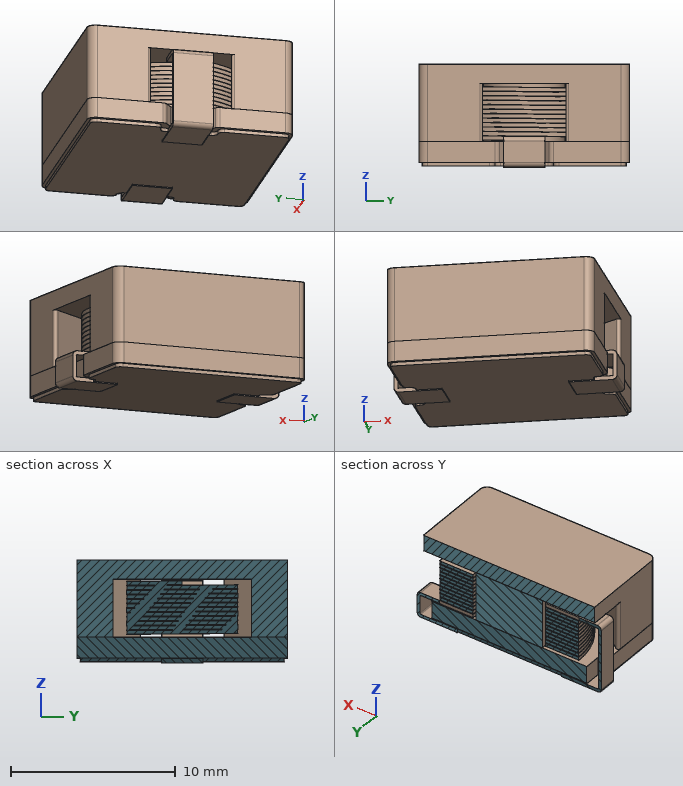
import cadquery as cq
import math


total_length = 13.8
body_side = 12.8
body_half = body_side / 2
body_corner_radius = 0.54
body_top_z = 6.27

film_bottom_z = 0.07
base_bottom_z = 0.29
base_top_z = 1.57
cavity_top_z = 5.08

film_inset = 0.21
film_half = body_half - film_inset
film_corner_radius = body_corner_radius - film_inset
film_notch_half_width = 1.78
film_notch_depth = 0.69

cavity_radius = 5.71
opening_half_width = 2.36
opening_edge_radius = 0.17

base_notch_mouth_half = 1.61
base_notch_floor_half = 1.15
base_notch_depth = 0.6
base_notch_edge_radius = 0.33

strip_thickness = 0.25
bend_inner_radius = 0.04
bend_outer_radius = bend_inner_radius + strip_thickness
terminal_width = 2.5
foot_end_x = 3.9
upper_lead_top_z = 5.0
lower_lead_top_z = 1.88

coil_outer_radius = 5.2
coil_inner_radius = 2.7
coil_turns = 11.5
coil_pitch = (upper_lead_top_z - lower_lead_top_z) / coil_turns
post_radius = 2.5

SIDES = (-1, 1)


def square_plate(half, corner_radius, bottom_z, top_z):
    """Square plate with rounded vertical corners."""
    plate = cq.Workplane("XY").workplane(offset=bottom_z).rect(2 * half, 2 * half)
    return plate.extrude(top_z - bottom_z).edges("|Z").fillet(corner_radius)


def prism(points, bottom_z, top_z):
    """Vertical prism over a closed outline."""
    return cq.Workplane("XY").workplane(offset=bottom_z).polyline(points).close().extrude(top_z - bottom_z)


def upright_edges(face_x, half_width):
    """Selector for the two vertical edges at X = face_x, Y = +/- half_width."""
    reach = 0.01
    left, right = [
        cq.selectors.BoxSelector(
            (face_x - reach, side * half_width - reach, 0),
            (face_x + reach, side * half_width + reach, body_top_z),
        )
        for side in SIDES
    ]
    return left + right


def notch_outline(side, mouth_x, mouth_half, floor_x, floor_half):
    """Four-sided outline, symmetric in Y, from a mouth at an X end to a floor further in."""
    return [
        (side * mouth_x, mouth_half),
        (side * mouth_x, -mouth_half),
        (side * floor_x, -floor_half),
        (side * floor_x, floor_half),
    ]


def make_cap():
    """Cap with a round coil cavity, open below, and flared openings at both X ends."""
    cap = square_plate(body_half, body_corner_radius, base_top_z, body_top_z)

    corner_distance = math.hypot(body_half, opening_half_width)
    corner_angle = math.atan2(opening_half_width, body_half)
    tangent_angle = corner_angle + math.acos(cavity_radius / corner_distance)
    tangent_x = cavity_radius * math.cos(tangent_angle)
    tangent_y = cavity_radius * math.sin(tangent_angle)

    cavity_height = cavity_top_z - base_top_z
    cavity = cq.Workplane("XY").workplane(offset=base_top_z).circle(cavity_radius).extrude(cavity_height)
    for side in SIDES:
        outline = notch_outline(side, body_half, opening_half_width, tangent_x, tangent_y)
        cavity = cavity.union(prism(outline, base_top_z, cavity_top_z))
    cap = cap.cut(cavity)

    for side in SIDES:
        cap = cap.edges(upright_edges(side * body_half, opening_half_width)).fillet(opening_edge_radius)
    return cap


def make_base():
    """Base plate with a tapered, round-edged notch behind each terminal."""
    base = square_plate(body_half, body_corner_radius, base_bottom_z, base_top_z)
    notch_floor_x = body_half - base_notch_depth
    for side in SIDES:
        outline = notch_outline(side, body_half, base_notch_mouth_half, notch_floor_x, base_notch_floor_half)
        base = base.cut(prism(outline, base_bottom_z, base_top_z))
        mouth_edges = upright_edges(side * body_half, base_notch_mouth_half)
        base = base.edges(mouth_edges).fillet(base_notch_edge_radius)
    return base


def make_film():
    """Thin bottom film, notched at both ends and recessed underneath for the feet."""
    film = square_plate(film_half, film_corner_radius, film_bottom_z, base_bottom_z)
    notch_floor_x = film_half - film_notch_depth
    for side in SIDES:
        outline = notch_outline(side, film_half, film_notch_half_width, notch_floor_x, film_notch_half_width)
        film = film.cut(prism(outline, film_bottom_z, base_bottom_z))
        for edge_x in (side * film_half, side * notch_floor_x):
            film = film.edges(upright_edges(edge_x, film_notch_half_width)).fillet(film_corner_radius)

        recess_length = film_half - foot_end_x
        recess_center_x = side * (foot_end_x + recess_length / 2)
        recess = cq.Workplane("XY").center(recess_center_x, 0).rect(recess_length, terminal_width)
        film = film.cut(recess.extrude(strip_thickness))
    return film


def make_post():
    """Round centre post between the base and the cavity roof."""
    return cq.Workplane("XY").workplane(offset=base_top_z).circle(post_radius).extrude(cavity_top_z - base_top_z)


def make_coil():
    """Flat wire wound on edge, from the lower lead at +X up to the upper lead at -X."""
    mean_radius = (coil_outer_radius + coil_inner_radius) / 2
    wire_width = coil_outer_radius - coil_inner_radius
    start_z = lower_lead_top_z - strip_thickness / 2
    path = cq.Wire.makeHelix(
        coil_pitch,
        coil_turns * coil_pitch,
        mean_radius,
        center=cq.Vector(0, 0, start_z),
        lefthand=True,
    )
    section = cq.Workplane("XZ").center(mean_radius, start_z).rect(wire_width, strip_thickness)
    return section.sweep(cq.Workplane(path), isFrenet=True)


def make_terminal(side, lead_top_z):
    """C-shaped strip: lead at the top, upright outside the body, foot under the film."""
    outer_x = total_length / 2
    upright_inner_x = outer_x - strip_thickness
    lead_bottom_z = lead_top_z - strip_thickness
    lead_start_x = coil_inner_radius

    outline = [
        (side * foot_end_x, 0),
        (side * outer_x, 0),
        (side * outer_x, lead_top_z),
        (side * lead_start_x, lead_top_z),
        (side * lead_start_x, lead_bottom_z),
        (side * upright_inner_x, lead_bottom_z),
        (side * upright_inner_x, strip_thickness),
        (side * foot_end_x, strip_thickness),
    ]
    strip = cq.Workplane("XZ").polyline(outline).close().extrude(terminal_width / 2, both=True)

    strip = strip.faces(">X" if side > 0 else "<X").edges("|Y").fillet(bend_outer_radius)
    inner_bends = cq.selectors.BoxSelector(
        (side * upright_inner_x - bend_inner_radius, -terminal_width, strip_thickness / 2),
        (side * upright_inner_x + bend_inner_radius, terminal_width, lead_top_z - strip_thickness / 2),
    )
    strip = strip.edges("|Y").edges(inner_bends).fillet(bend_inner_radius)

    coil_envelope = (
        cq.Workplane("XY").workplane(offset=lead_bottom_z).circle(coil_outer_radius).extrude(strip_thickness)
    )
    return strip.cut(coil_envelope)


cap = make_cap()
base = make_base()
film = make_film()
post = make_post()
coil = make_coil()
lead_heights = (upper_lead_top_z, lower_lead_top_z)
terminals = [make_terminal(side, lead_top_z) for side, lead_top_z in zip(SIDES, lead_heights)]

result = cq.Compound.makeCompound(
    [
        cap.val(),
        base.val(),
        film.val(),
        post.val(),
        coil.val(),
        *[terminal.val() for terminal in terminals],
    ]
)